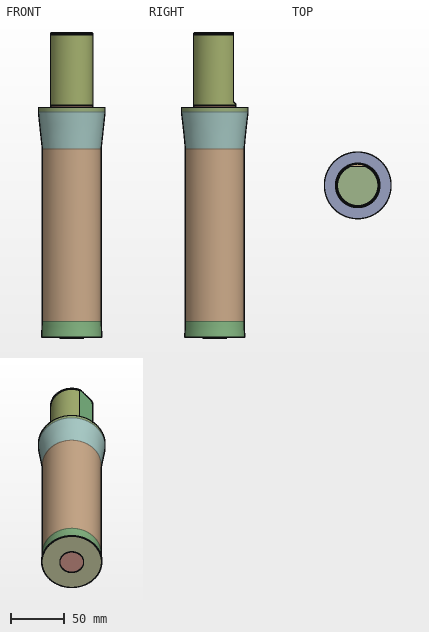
import cadquery as cq

total_height = 286.0
collar_top = 216.0
collar_rim_height = 4.3
collar_cone_height = 34.5
foot_height = 16.0
foot_chamfer = 0.5
boss_height = 1.0

collar_diameter = 62.5
tube_diameter = 55.2
foot_diameter = 56.5
boss_diameter = 22.3
bore_mouth_diameter = 41.8

rod_diameter = 40.0
rod_neck_diameter = 39.5
rod_chamfer = 1.1
groove_diameter = 39.2
groove_width = 1.0
groove_top_depth = 1.7
neck_taper_height = 0.5
neck_gap = 1.5
flat_offset = 17.7
flat_clearance = 5.1

collar_rim_bottom = collar_top - collar_rim_height
rod_seat = collar_rim_bottom - collar_cone_height


def make_housing():
    """Turned tube with a flared collar, a flared foot, a bottom boss and a blind bore."""
    mouth_chamfer = (bore_mouth_diameter - rod_neck_diameter) / 2
    profile = [
        (0, 0),
        (boss_diameter / 2, 0),
        (boss_diameter / 2, boss_height),
        (foot_diameter / 2 - foot_chamfer, boss_height),
        (foot_diameter / 2, boss_height + foot_chamfer),
        (tube_diameter / 2, foot_height),
        (tube_diameter / 2, rod_seat),
        (collar_diameter / 2, collar_rim_bottom),
        (collar_diameter / 2, collar_top),
        (bore_mouth_diameter / 2, collar_top),
        (rod_neck_diameter / 2, collar_top - mouth_chamfer),
        (rod_neck_diameter / 2, rod_seat),
        (0, rod_seat),
    ]
    return cq.Workplane("XZ").polyline(profile).close().revolve(360, (0, 0), (0, 1))


def make_flat_cutter():
    """Prism that cuts the +Y flat, its lower end running out at 45 degrees."""
    flat_bottom = collar_top + flat_clearance
    cutter_reach = rod_diameter / 2
    runout = cutter_reach - flat_offset
    return (
        cq.Workplane("YZ")
        .polyline([
            (flat_offset, flat_bottom),
            (cutter_reach, flat_bottom - runout),
            (cutter_reach, total_height),
            (flat_offset, total_height),
        ])
        .close()
        .extrude(rod_diameter / 2, both=True)
    )


def make_rod():
    """Rod with a seated neck, a shallow groove under its chamfered top and one long flat."""
    neck_top = collar_top + neck_gap
    groove_top = total_height - groove_top_depth
    groove_bottom = groove_top - groove_width
    profile = [
        (0, rod_seat),
        (rod_neck_diameter / 2, rod_seat),
        (rod_neck_diameter / 2, neck_top),
        (rod_diameter / 2, neck_top + neck_taper_height),
        (rod_diameter / 2, groove_bottom),
        (groove_diameter / 2, groove_bottom),
        (groove_diameter / 2, groove_top),
        (rod_diameter / 2, groove_top),
        (rod_diameter / 2, total_height - rod_chamfer),
        (rod_diameter / 2 - rod_chamfer, total_height),
        (0, total_height),
    ]
    rod_blank = cq.Workplane("XZ").polyline(profile).close().revolve(360, (0, 0), (0, 1))
    return rod_blank.cut(make_flat_cutter())


housing = make_housing()
rod = make_rod()
result = cq.Compound.makeCompound([housing.val(), rod.val()])